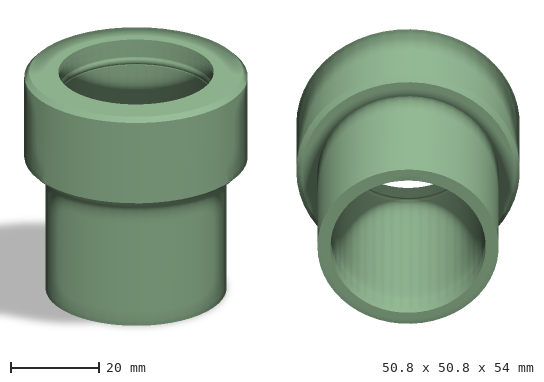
import cadquery as cq

total_height = 54.0
nut_height = 22.25
nut_bottom = total_height - nut_height

nut_diameter = 50.8
nut_chamfer = 1.1
nut_lip_thickness = 3.25
nut_opening_diameter = 35.3
nut_lip_bottom = total_height - nut_lip_thickness

spacer_thickness = 1.1
spacer_bottom = nut_lip_bottom - spacer_thickness

tube_diameter = 41.2
tube_bore_diameter = 35.3

seal_section_diameter = 2.05
seal_inner_diameter = 34.9
seal_outer_diameter = seal_inner_diameter + 2 * seal_section_diameter
seal_center_radius = (seal_inner_diameter + seal_section_diameter) / 2
seal_center_height = spacer_bottom - seal_section_diameter / 2


def cylinder(diameter, bottom, top):
    """Solid cylinder about the Z axis between two heights."""
    return cq.Workplane("XY").workplane(offset=bottom).circle(diameter / 2).extrude(top - bottom)


def make_nut():
    """Chamfered collar with a thin top lip above the chamber for the stacked parts."""
    collar = cylinder(nut_diameter, nut_bottom, total_height).edges().chamfer(nut_chamfer)
    chamber = cylinder(tube_diameter, nut_bottom, nut_lip_bottom)
    opening = cylinder(nut_opening_diameter, nut_lip_bottom, total_height)
    return collar.cut(chamber).cut(opening)


def make_spacer():
    """Flat ring between the nut lip and the tube."""
    disc = cylinder(tube_diameter, spacer_bottom, nut_lip_bottom)
    return disc.cut(cylinder(nut_opening_diameter, spacer_bottom, nut_lip_bottom))


def make_seal():
    """Round-section ring just below the spacer."""
    return (
        cq.Workplane("XZ")
        .center(seal_center_radius, seal_center_height)
        .circle(seal_section_diameter / 2)
        .revolve(360, (-seal_center_radius, 0), (-seal_center_radius, 1))
    )


def make_tube():
    """Straight tube with the seal counterbore at its top end."""
    seal_seat = cylinder(seal_outer_diameter, spacer_bottom - seal_section_diameter, spacer_bottom)
    bore = cylinder(tube_bore_diameter, 0, spacer_bottom)
    return cylinder(tube_diameter, 0, spacer_bottom).cut(bore).cut(seal_seat)


nut = make_nut()
spacer = make_spacer()
seal = make_seal()
tube = make_tube()

result = cq.Compound.makeCompound([nut.val(), spacer.val(), seal.val(), tube.val()])